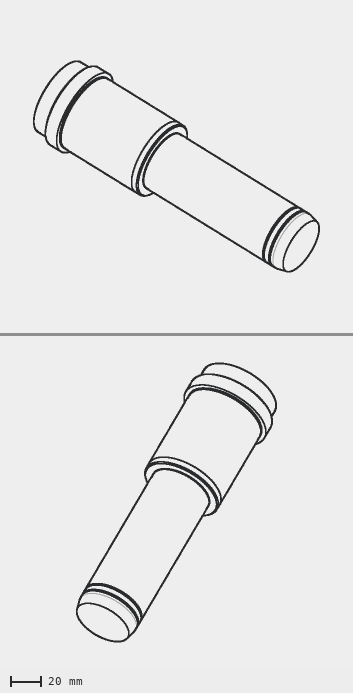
import cadquery as cq

total_length = 203.0
flange_start = 12.0
flange_end = 22.0
lead_start = 82.2
body_end = 87.0

body_diameter = 54.0
flange_diameter = 60.0
shaft_diameter = 42.0

lead_drop = 0.08

undercut_width = 1.2
undercut_depth = 0.5

head_chamfer = 0.5
flange_chamfer = 0.6
shoulder_chamfer = 0.8

relief_width = 0.6
relief_depth = 0.2

groove_starts = (187.4, 192.5)
groove_width = 1.2
groove_depth = 0.2

tip_length = 7.3
tip_drop = 1.8


def revolve_profile(profile):
    """Close a half-section drawn in the XY plane and turn it about the X axis."""
    return profile.close().revolve(360, (0, 0, 0), (1, 0, 0))


def ring_groove(start, width, diameter, depth):
    """Cutter for a ring groove with an arc-shaped floor in a cylinder of the given diameter."""
    surface = diameter / 2
    profile = (
        cq.Workplane("XY")
        .moveTo(start, surface + depth)
        .lineTo(start, surface)
        .threePointArc((start + width / 2, surface - depth), (start + width, surface))
        .lineTo(start + width, surface + depth)
    )
    return revolve_profile(profile)


def make_body():
    """Head and body: chamfered at both ends, stepped before the shoulder, undercut beside the flange."""
    radius = body_diameter / 2
    lead_radius = radius - lead_drop
    profile = (
        cq.Workplane("XY")
        .lineTo(0, radius - head_chamfer)
        .lineTo(head_chamfer, radius)
        .lineTo(lead_start, radius)
        .lineTo(lead_start, lead_radius)
        .lineTo(body_end - shoulder_chamfer, lead_radius)
        .lineTo(body_end, lead_radius - shoulder_chamfer)
        .lineTo(body_end, 0)
    )
    body = revolve_profile(profile)
    for start in (flange_start - undercut_width, flange_end):
        body = body.cut(ring_groove(start, undercut_width, body_diameter, undercut_depth))
    return body


def make_flange():
    """Flange with its head-side edge chamfered."""
    radius = flange_diameter / 2
    profile = (
        cq.Workplane("XY")
        .moveTo(flange_start, 0)
        .lineTo(flange_start, radius - flange_chamfer)
        .lineTo(flange_start + flange_chamfer, radius)
        .lineTo(flange_end, radius)
        .lineTo(flange_end, 0)
    )
    return revolve_profile(profile)


def make_shaft():
    """Shaft with a relief at its root, two ring grooves and a conical tip."""
    radius = shaft_diameter / 2
    profile = (
        cq.Workplane("XY")
        .moveTo(lead_start, 0)
        .lineTo(lead_start, radius)
        .lineTo(total_length - tip_length, radius)
        .lineTo(total_length, radius - tip_drop)
        .lineTo(total_length, 0)
    )
    shaft = revolve_profile(profile)
    shaft = shaft.cut(ring_groove(body_end, relief_width, shaft_diameter, relief_depth))
    for start in groove_starts:
        shaft = shaft.cut(ring_groove(start, groove_width, shaft_diameter, groove_depth))
    return shaft


result = make_body().union(make_flange()).union(make_shaft())